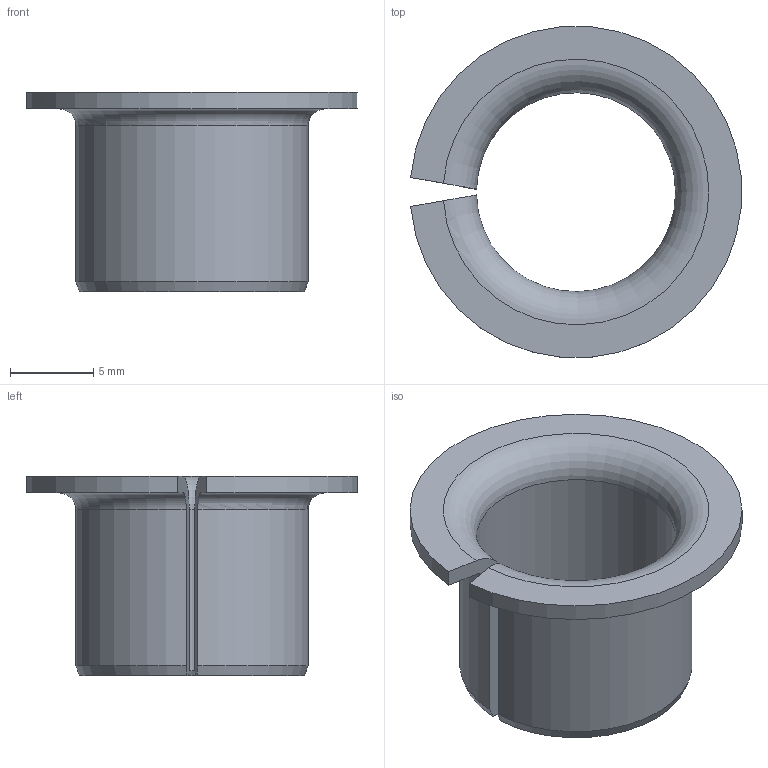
import cadquery as cq
import math

bore_diameter = 12.0
wall = 1.0
flange_diameter = 20.0
height = 12.0
neck_radius = 1.0
chamfer_height = 0.6
chamfer_angle = 20.0
bore_chamfer_height = 0.3
bore_chamfer_angle = 30.0
slot_angle = 20.0
slot_apex_distance = 5.0
slot_overrun = 1.0

bore_radius = bore_diameter / 2
sleeve_radius = bore_radius + wall
flange_radius = flange_diameter / 2
mouth_radius = neck_radius + wall
chamfer_width = chamfer_height * math.tan(math.radians(chamfer_angle))
bore_chamfer_width = bore_chamfer_height * math.tan(math.radians(bore_chamfer_angle))


def flanged_sleeve():
    """Revolve the section around Z, with the seam turned to -X where the slot removes it."""
    bend_x = sleeve_radius + neck_radius
    bend_z = height - mouth_radius
    diagonal = math.sqrt(0.5)
    section = (
        cq.Workplane("XZ")
        .moveTo(bore_radius, bore_chamfer_height)
        .lineTo(bore_radius + bore_chamfer_width, 0)
        .lineTo(sleeve_radius - chamfer_width, 0)
        .lineTo(sleeve_radius, chamfer_height)
        .lineTo(sleeve_radius, bend_z)
        .threePointArc(
            (bend_x - neck_radius * diagonal, bend_z + neck_radius * diagonal),
            (bend_x, bend_z + neck_radius),
        )
        .lineTo(flange_radius, height - wall)
        .lineTo(flange_radius, height)
        .lineTo(bend_x, height)
        .threePointArc(
            (bend_x - mouth_radius * diagonal, bend_z + mouth_radius * diagonal),
            (bore_radius, bend_z),
        )
        .close()
    )
    return section.revolve(360, (0, 0, 0), (0, 1, 0)).rotate((0, 0, 0), (0, 0, 1), 180)


def slot_wedge():
    """Wedge on the -X side, opening outwards, that splits the whole height."""
    slope = math.tan(math.radians(slot_angle / 2))
    outer_x = -flange_radius - slot_overrun
    outer_half_width = (-slot_apex_distance - outer_x) * slope
    return (
        cq.Workplane("XY")
        .moveTo(-slot_apex_distance, 0)
        .lineTo(outer_x, outer_half_width)
        .lineTo(outer_x, -outer_half_width)
        .close()
        .extrude(height)
    )


result = flanged_sleeve().cut(slot_wedge())